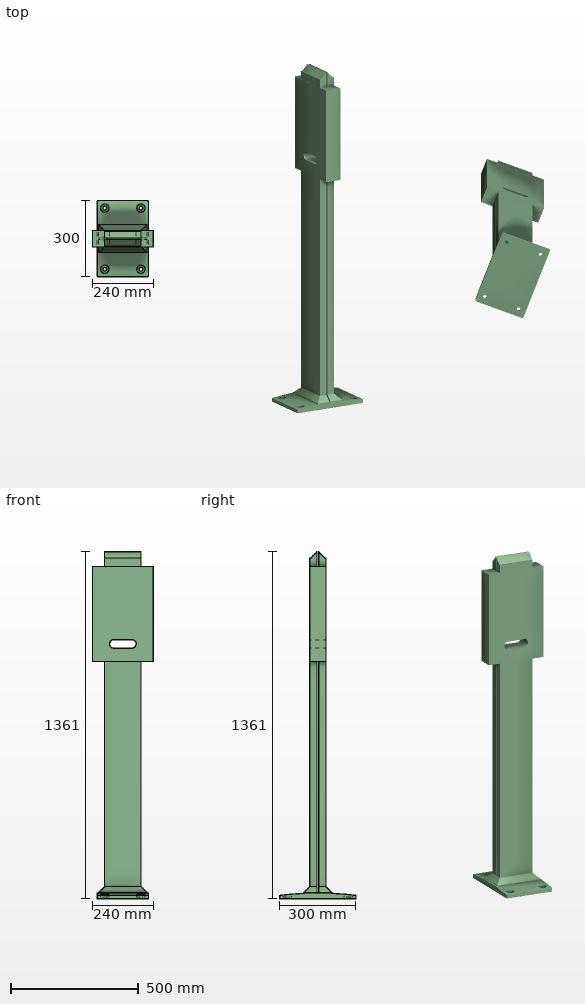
import cadquery as cq

total_height = 1361.0

plate_width = 201.0
plate_depth = 300.0
plate_edge_height = 14.0
plate_crown_height = 23.0
plate_corner_radius = 5.0

hole_inset = 30.0
hole_diameter = 14.0
head_diameter = 33.0
head_depth = 7.0

post_width = 144.0
post_depth = 64.0
skirt_bottom = 25.0
skirt_flare = 23.0

gap_width = 5.0

cap_ledge = 4.0
cap_rise = (post_depth - gap_width) / 2 - cap_ledge
cap_base = total_height - cap_rise

panel_width = 240.0
panel_depth = 65.0
panel_bottom = 930.0
panel_top = 1303.0
slot_length = 103.0
slot_height = 33.0
slot_center_height = 999.0


def make_plate():
    half_depth = plate_depth / 2
    profile = (
        cq.Workplane("YZ")
        .moveTo(-half_depth, 0)
        .lineTo(half_depth, 0)
        .lineTo(half_depth, plate_edge_height)
        .threePointArc((0, plate_crown_height), (-half_depth, plate_edge_height))
        .close()
    )
    plate = profile.extrude(plate_width / 2, both=True)
    return plate.edges("|Z").fillet(plate_corner_radius)


def make_holes():
    """Stepped cutters for the four mounting holes; the head opens through the crowned top."""
    spacing_x = plate_width - 2 * hole_inset
    spacing_y = plate_depth - 2 * hole_inset
    shanks = (
        cq.Workplane("XY")
        .rarray(spacing_x, spacing_y, 2, 2)
        .circle(hole_diameter / 2)
        .extrude(plate_crown_height)
    )
    heads = (
        cq.Workplane("XY", origin=(0, 0, plate_edge_height - head_depth))
        .rarray(spacing_x, spacing_y, 2, 2)
        .circle(head_diameter / 2)
        .extrude(plate_crown_height)
    )
    return shanks.union(heads)


def make_post():
    return cq.Workplane("XY").rect(post_width, post_depth).extrude(cap_base)


def make_skirt():
    foot_width = post_width + 2 * skirt_flare
    foot_depth = post_depth + 2 * skirt_flare
    flare = (
        cq.Workplane("XY", origin=(0, 0, skirt_bottom))
        .rect(foot_width, foot_depth)
        .workplane(offset=skirt_flare)
        .rect(post_width, post_depth)
        .loft(ruled=True)
    )
    foot = cq.Workplane("XY").rect(foot_width, foot_depth).extrude(skirt_bottom)
    return foot.union(flare)


def make_cap():
    half_base = post_depth / 2 - cap_ledge
    half_gap = gap_width / 2
    profile = cq.Workplane("YZ").polyline(
        [
            (-half_base, cap_base),
            (half_base, cap_base),
            (half_gap, total_height),
            (-half_gap, total_height),
        ]
    )
    return profile.close().extrude(post_width / 2, both=True)


def make_gap():
    """Slab that splits the column from the foot of the skirt up to the ridge."""
    gap_length = post_width + 2 * skirt_flare
    return (
        cq.Workplane("XY", origin=(0, 0, skirt_bottom))
        .rect(gap_length, gap_width)
        .extrude(total_height - skirt_bottom)
    )


def make_panel():
    panel_height = panel_top - panel_bottom
    return (
        cq.Workplane("XY", origin=(0, 0, panel_bottom))
        .rect(panel_width, panel_depth)
        .extrude(panel_height)
    )


def make_slot():
    return (
        cq.Workplane("XZ", origin=(0, 0, slot_center_height))
        .slot2D(slot_length, slot_height)
        .extrude(panel_depth, both=True)
    )


column = make_post().union(make_skirt()).union(make_cap()).cut(make_gap())
result = make_plate().cut(make_holes()).union(column).union(make_panel()).cut(make_slot())